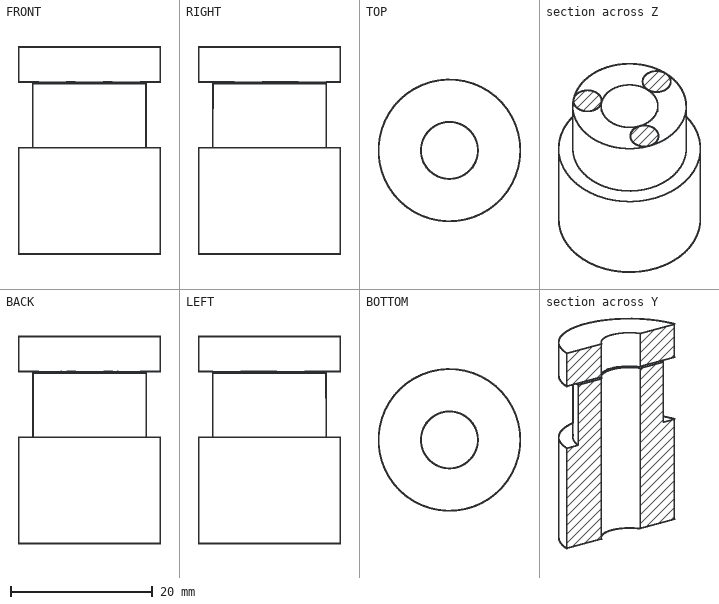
import cadquery as cq
import math

total_height = 29.2
outer_diameter = 20.0
neck_diameter = 16.0
bore_diameter = 8.0
base_height = 15.0
cap_height = 5.0
gap_height = 0.2

pin_count = 3
pin_diameter = (neck_diameter - bore_diameter) / 2
pin_circle_radius = (neck_diameter + bore_diameter) / 4
first_pin_angle = 90.0

cap_bottom = total_height - cap_height
neck_top = cap_bottom - gap_height


def ring(diameter, bottom, top):
    """Bored cylinder between two heights."""
    return (
        cq.Workplane("XY", origin=(0, 0, bottom))
        .circle(diameter / 2)
        .circle(bore_diameter / 2)
        .extrude(top - bottom)
    )


def pin(angle):
    """Short pin bridging the gap, centred in the neck wall."""
    x = pin_circle_radius * math.cos(math.radians(angle))
    y = pin_circle_radius * math.sin(math.radians(angle))
    return (
        cq.Workplane("XY", origin=(x, y, neck_top))
        .circle(pin_diameter / 2)
        .extrude(gap_height)
    )


base = ring(outer_diameter, 0, base_height)
neck = ring(neck_diameter, base_height, neck_top)
cap = ring(outer_diameter, cap_bottom, total_height)

result = base.union(neck)
for index in range(pin_count):
    result = result.union(pin(first_pin_angle + index * 360 / pin_count))
result = result.union(cap)